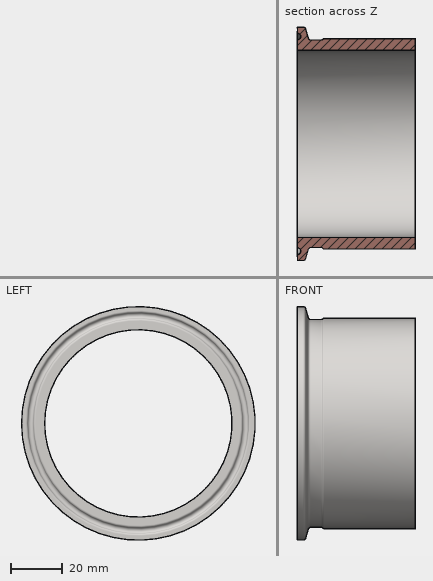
import cadquery as cq
import math

length = 46.0
flange_radius = 45.5
tube_radius = 41.0
neck_radius = 40.5
bore_radius = 36.4

rim_end = 2.4
face_edge_round = 0.3
back_round = 1.0
back_angle = math.radians(16)

step_start = 9.4
step_end = 10.6

groove_center_radius = 41.9
groove_half_width = 1.96
groove_depth = 1.4
groove_round = 1.2


def arc_point(center, radius, angle):
    """Point on a circle, with the angle measured from +X toward the radial direction."""
    return (center[0] + radius * math.cos(angle), center[1] + radius * math.sin(angle))


def make_body():
    rim_center = (rim_end, flange_radius - back_round)
    taper_start = arc_point(rim_center, back_round, back_angle)
    round_drop = back_round * (1 - math.sin(back_angle))
    taper_end_radius = neck_radius + round_drop
    taper_run = (taper_start[1] - taper_end_radius) * math.tan(back_angle)
    taper_end = (taper_start[0] + taper_run, taper_end_radius)
    neck_start = taper_end[0] + back_round * math.cos(back_angle)
    step_middle = ((step_start + step_end) / 2, (neck_radius + tube_radius) / 2)

    profile = (
        cq.Workplane("XY")
        .moveTo(0, bore_radius)
        .lineTo(0, flange_radius - face_edge_round)
        .radiusArc((face_edge_round, flange_radius), face_edge_round)
        .lineTo(rim_end, flange_radius)
        .radiusArc(taper_start, back_round)
        .lineTo(*taper_end)
        .tangentArcPoint((neck_start, neck_radius), relative=False)
        .lineTo(step_start, neck_radius)
        .tangentArcPoint(step_middle, relative=False)
        .tangentArcPoint((step_end, tube_radius), relative=False)
        .lineTo(length, tube_radius)
        .lineTo(length, bore_radius)
        .close()
    )
    return profile.revolve(360, (0, 0, 0), (1, 0, 0))


def make_groove():
    radius_sum = (groove_half_width**2 + groove_depth**2) / (2 * groove_depth)
    bottom_center = (groove_depth - groove_round, groove_center_radius)
    lip_angle = math.asin(groove_half_width / radius_sum)
    inner_joint = arc_point(bottom_center, groove_round, -lip_angle)
    outer_joint = arc_point(bottom_center, groove_round, lip_angle)

    profile = (
        cq.Workplane("XY")
        .moveTo(0, groove_center_radius - groove_half_width)
        .radiusArc(inner_joint, radius_sum - groove_round)
        .threePointArc((groove_depth, groove_center_radius), outer_joint)
        .radiusArc((0, groove_center_radius + groove_half_width), radius_sum - groove_round)
        .close()
    )
    return profile.revolve(360, (0, 0, 0), (1, 0, 0))


result = make_body().cut(make_groove())